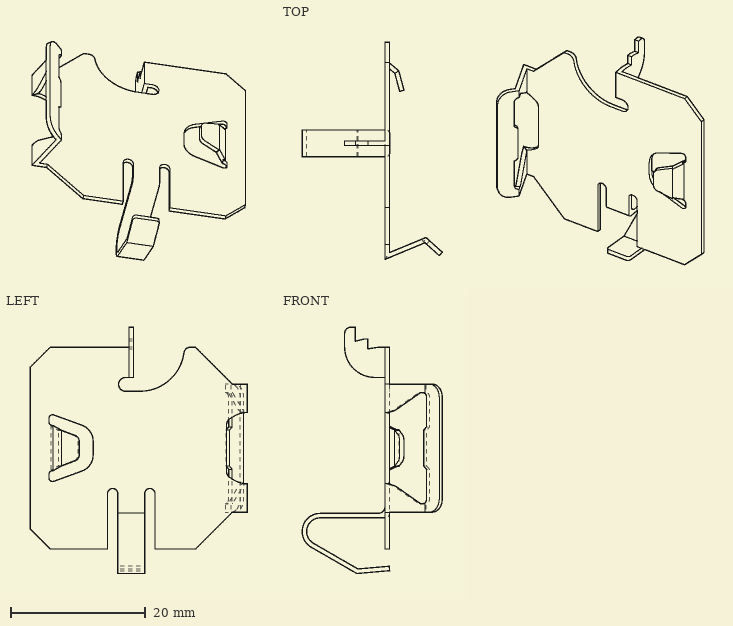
import cadquery as cq
import math

THICKNESS = 0.7
REACH = 73.15

PLATE_HALF_HEIGHT = 15.0
PLATE_BACK_Y = 15.0
CLIP_FOLD_Y = -17.23
BACK_CHAMFER = 3.0
FRONT_CHAMFER = 5.5
CLIP_ROOT_LENGTH = 1.5 * THICKNESS
CLIP_HALF_HEIGHT = PLATE_HALF_HEIGHT - FRONT_CHAMFER

TAB_LENGTH = 6.0
TAB_TOP_Z = 17.95
TAB_BOTTOM_Z = 10.45
TAB_TIP_RADIUS = 1.0
TAB_TOOTH_WALLS = (-2.52, -4.4)
TAB_TOOTH_CRESTS = (-0.88, -3.07)
TAB_CREST_Z = (PLATE_HALF_HEIGHT, 16.2)
TAB_ROOT_Z = (14.75, 15.88)
RELIEF_WIDTH = 2.0
RELIEF_END_Y = 1.85
RELIEF_ARC_Y = -1.3
RELIEF_LIP_RADIUS = 1.0

HOOK_HALF_WIDTH = 2.0
SLOT_WIDTH = 1.5
SLOT_TOP_Z = -6.0
HOOK_TOP_Z = -9.65
HOOK_BEND_RADIUS = 1.0
HOOK_BEND_BACK_RADIUS = 0.7
HOOK_LOOP_X = -9.6
HOOK_LOOP_RADIUS = 2.7
HOOK_RETURN_ANGLE = 30.0
HOOK_BOTTOM_Z = -18.62
HOOK_TIP_ANGLE = 5.0
HOOK_TIP_LENGTH = 4.9
HOOK_TIP_RADIUS = 0.5

OPENING_BACK_Y = 12.18
OPENING_FRONT_Y = 5.67
OPENING_HALF_HEIGHT = 5.15
OPENING_FRONT_RADIUS = 2.5
OPENING_BACK_RADIUS = 0.5
TONGUE_FOLD_Y = 11.6
TONGUE_HALF_HEIGHT = 3.35
TONGUE_TAPER = 20.0
TONGUE_RISE_ANGLE = 50.0
TONGUE_RISE_LENGTH = 1.9
TONGUE_TIP_ANGLE = 15.0
TONGUE_TIP_LENGTH = 2.78
TONGUE_TIP_RADIUS = 1.0

LEG_ANGLE = 22.5
LEG_LENGTH = 6.45
FLANGE_ANGLE = 42.0
FLANGE_LENGTH = 2.85
FLANGE_RADIUS = 2.0
WINDOW_START = -3.07
WINDOW_FLANGE_DEPTH = 0.3
WINDOW_END = LEG_LENGTH + WINDOW_FLANGE_DEPTH
WINDOW_FOLD_HALF_HEIGHT = 5.25
WINDOW_FLARE = 33.0
WINDOW_FLAT = 1.17
WINDOW_START_RADIUS = 1.0
WINDOW_FOLD_RADIUS = 3.65
WINDOW_END_RADIUS = 0.73
LIP_HALF_HEIGHT = 2.67
LIP_LENGTH = 0.6
LIP_FLARE = 0.48


def slope(angle):
    return math.tan(math.radians(angle))


def step(point, angle, length):
    """Point reached from another by a move at an angle from the first axis."""
    a = math.radians(angle)
    return (point[0] + length * math.cos(a), point[1] + length * math.sin(a))


def direction(start, end):
    length = math.dist(start, end)
    return ((end[0] - start[0]) / length, (end[1] - start[1]) / length)


def turn_between(before, after):
    """Signed angle from one unit direction to the next, positive to the left."""
    cross = before[0] * after[1] - before[1] * after[0]
    dot = before[0] * after[0] + before[1] * after[1]
    return math.atan2(cross, dot)


def rounded_outline(plane, corners):
    """Closed outline from (u, v, radius) corners; each corner is rounded by a tangent arc."""
    sketch = cq.Workplane(plane)
    started = False
    for i, (u, v, radius) in enumerate(corners):
        corner = (u, v)
        if radius == 0:
            sketch = sketch.lineTo(*corner) if started else sketch.moveTo(*corner)
        else:
            before = direction(corners[i - 1][:2], corner)
            after = direction(corner, corners[(i + 1) % len(corners)][:2])
            turn = turn_between(before, after)
            tangent = radius * math.tan(abs(turn) / 2)
            sagitta = radius / math.cos(turn / 2) - radius
            inward = direction(before, after)
            first = (u - tangent * before[0], v - tangent * before[1])
            middle = (u + sagitta * inward[0], v + sagitta * inward[1])
            last = (u + tangent * after[0], v + tangent * after[1])
            sketch = sketch.lineTo(*first) if started else sketch.moveTo(*first)
            sketch = sketch.threePointArc(middle, last)
        started = True
    return sketch.close()


def mirrored(half):
    """Corners of an outline symmetric about v = 0, from its upper half."""
    return half + [(u, -v, radius) for u, v, radius in reversed(half)]


def back_points(face):
    """Points one thickness to the left of a bent face line, mitred at the bends."""
    back = []
    for i, point in enumerate(face):
        after = direction(*face[i:i + 2]) if i + 1 < len(face) else direction(*face[i - 1:])
        before = direction(*face[i - 1:i + 1]) if i > 0 else after
        miter = THICKNESS * math.tan(turn_between(before, after) / 2)
        back.append((
            point[0] - THICKNESS * before[1] - miter * before[0],
            point[1] + THICKNESS * before[0] - miter * before[1],
        ))
    return back


def fold(face, blank):
    """Bend a flat blank along a face line in XY; it is laid out from the second point."""
    back = back_points(face)
    sheet = None
    travelled = -math.dist(face[0], face[1])
    for i in range(len(face) - 1):
        start, end = face[i], face[i + 1]
        along = direction(start, end)
        origin = (start[0] - travelled * along[0], start[1] - travelled * along[1], 0)
        plane = cq.Plane(origin=origin, xDir=(*along, 0), normal=(along[1], -along[0], 0))
        stretch = cq.Workplane("XY").polyline([start, end, back[i + 1], back[i]]).close()
        panel = stretch.extrude(REACH, both=True).intersect(blank(plane))
        sheet = panel if sheet is None else sheet.union(panel)
        travelled += math.dist(start, end)
    return sheet


def prism(plane, corners):
    return rounded_outline(plane, corners).extrude(REACH, both=True)


def clip_window(plane):
    """Window that runs from the plate through the clip leg into the flange."""
    flare = slope(WINDOW_FLARE)
    start_height = WINDOW_FOLD_HALF_HEIGHT + (WINDOW_START + WINDOW_FLAT) * flare
    end_height = WINDOW_FOLD_HALF_HEIGHT + (WINDOW_END - WINDOW_FLAT) * flare
    return prism(plane, mirrored([
        (WINDOW_START, start_height, WINDOW_START_RADIUS),
        (-WINDOW_FLAT, WINDOW_FOLD_HALF_HEIGHT, WINDOW_FOLD_RADIUS),
        (WINDOW_FLAT, WINDOW_FOLD_HALF_HEIGHT, WINDOW_FOLD_RADIUS),
        (WINDOW_END, end_height, WINDOW_END_RADIUS),
    ]))


def clip_blank(plane):
    outline = mirrored([
        (-CLIP_ROOT_LENGTH, CLIP_HALF_HEIGHT, 0),
        (LEG_LENGTH + FLANGE_LENGTH, CLIP_HALF_HEIGHT, FLANGE_RADIUS),
    ])
    return prism(plane, outline).cut(clip_window(plane))


def clip():
    fold_point = (0, CLIP_FOLD_Y)
    bend = step(fold_point, LEG_ANGLE, LEG_LENGTH)
    end = step(bend, -FLANGE_ANGLE, FLANGE_LENGTH)
    sheet = fold([(0, 0), fold_point, bend, end], clip_blank)

    along = direction(bend, end)
    normal = (along[1], -along[0], 0)
    origin = (*step(bend, -FLANGE_ANGLE, -LEG_LENGTH), 0)
    flange_plane = cq.Plane(origin=origin, xDir=(*along, 0), normal=normal)
    flange_layer = cq.Workplane(flange_plane).rect(REACH, REACH).extrude(-THICKNESS)
    sheet = sheet.cut(clip_window(flange_plane).intersect(flange_layer))

    lip = rounded_outline(flange_plane, mirrored([
        (WINDOW_END - LIP_LENGTH, LIP_HALF_HEIGHT, 0),
        (WINDOW_END, LIP_HALF_HEIGHT + LIP_FLARE, 0),
        (WINDOW_END + THICKNESS, LIP_HALF_HEIGHT + LIP_FLARE, 0),
    ])).extrude(-THICKNESS)
    return sheet.union(lip)


def tongue_blank(plane):
    length = TONGUE_RISE_LENGTH + TONGUE_TIP_LENGTH
    taper = slope(TONGUE_TAPER)
    return prism(plane, mirrored([
        (-THICKNESS, TONGUE_HALF_HEIGHT, 0),
        (0, TONGUE_HALF_HEIGHT, 0),
        (length, TONGUE_HALF_HEIGHT - length * taper, TONGUE_TIP_RADIUS),
    ]))


def tongue():
    fold_point = (0, TONGUE_FOLD_Y)
    bend = step(fold_point, TONGUE_RISE_ANGLE - 90, TONGUE_RISE_LENGTH)
    end = step(bend, TONGUE_TIP_ANGLE - 90, TONGUE_TIP_LENGTH)
    return fold([(0, PLATE_BACK_Y), fold_point, bend, end], tongue_blank)


def tongue_opening():
    front_height = OPENING_HALF_HEIGHT - (OPENING_BACK_Y - OPENING_FRONT_Y) * slope(TONGUE_TAPER)
    return prism("YZ", mirrored([
        (TONGUE_FOLD_Y, TONGUE_HALF_HEIGHT, 0),
        (OPENING_BACK_Y, TONGUE_HALF_HEIGHT, OPENING_BACK_RADIUS),
        (OPENING_BACK_Y, OPENING_HALF_HEIGHT, OPENING_BACK_RADIUS),
        (OPENING_FRONT_Y, front_height, OPENING_FRONT_RADIUS),
    ]))


def plate():
    relief_bottom = TAB_BOTTOM_Z - RELIEF_WIDTH
    relief_radius = PLATE_HALF_HEIGHT - relief_bottom
    end_radius = RELIEF_WIDTH / 2
    relief_end = (RELIEF_END_Y, TAB_BOTTOM_Z - end_radius)
    lip_z = PLATE_HALF_HEIGHT - RELIEF_LIP_RADIUS
    lip_run = math.sqrt((relief_radius + RELIEF_LIP_RADIUS) ** 2 - RELIEF_LIP_RADIUS ** 2)
    lip_y = RELIEF_ARC_Y - lip_run
    relief_center = (RELIEF_ARC_Y, PLATE_HALF_HEIGHT)
    lip_center = (lip_y, lip_z)
    lip_angle = math.degrees(math.atan2(RELIEF_LIP_RADIUS, lip_run))
    relief_mid = step(relief_center, (270 + 180 + lip_angle) / 2, relief_radius)
    touch = step(relief_center, 180 + lip_angle, relief_radius)
    lip_mid = step(lip_center, (90 + lip_angle) / 2, RELIEF_LIP_RADIUS)
    clip_root_y = CLIP_FOLD_Y + CLIP_ROOT_LENGTH
    front_top_y = -CLIP_HALF_HEIGHT
    front_clip_y = front_top_y - FRONT_CHAMFER

    return (
        cq.Workplane("YZ")
        .moveTo(-THICKNESS / 2, PLATE_HALF_HEIGHT)
        .lineTo(-THICKNESS / 2, TAB_BOTTOM_Z)
        .lineTo(RELIEF_END_Y - end_radius, TAB_BOTTOM_Z)
        .threePointArc(relief_end, (RELIEF_END_Y - end_radius, relief_bottom))
        .lineTo(RELIEF_ARC_Y, relief_bottom)
        .threePointArc(relief_mid, touch)
        .threePointArc(lip_mid, (lip_y, PLATE_HALF_HEIGHT))
        .lineTo(front_top_y, PLATE_HALF_HEIGHT)
        .lineTo(front_clip_y, CLIP_HALF_HEIGHT)
        .lineTo(clip_root_y, CLIP_HALF_HEIGHT)
        .lineTo(clip_root_y, -CLIP_HALF_HEIGHT)
        .lineTo(front_clip_y, -CLIP_HALF_HEIGHT)
        .lineTo(front_top_y, -PLATE_HALF_HEIGHT)
        .lineTo(PLATE_BACK_Y - BACK_CHAMFER, -PLATE_HALF_HEIGHT)
        .lineTo(PLATE_BACK_Y, BACK_CHAMFER - PLATE_HALF_HEIGHT)
        .lineTo(PLATE_BACK_Y, PLATE_HALF_HEIGHT - BACK_CHAMFER)
        .lineTo(PLATE_BACK_Y - BACK_CHAMFER, PLATE_HALF_HEIGHT)
        .close()
        .extrude(THICKNESS)
    )


def hook_gap():
    """Two round-ended slots beside the hook and the space below its bend."""
    slot_center = HOOK_HALF_WIDTH + SLOT_WIDTH / 2
    radius = SLOT_WIDTH / 2
    outer_edge = HOOK_HALF_WIDTH + SLOT_WIDTH
    bend_top = HOOK_TOP_Z + HOOK_BEND_RADIUS
    gap = cq.Workplane("YZ").moveTo(0, bend_top - REACH / 2).rect(2 * outer_edge, REACH)
    gap = gap.extrude(REACH, both=True)
    for y in (-slot_center, slot_center):
        slot = (
            cq.Workplane("YZ")
            .moveTo(y - radius, -PLATE_HALF_HEIGHT)
            .lineTo(y - radius, SLOT_TOP_Z - radius)
            .threePointArc((y, SLOT_TOP_Z), (y + radius, SLOT_TOP_Z - radius))
            .lineTo(y + radius, -PLATE_HALF_HEIGHT)
            .close()
            .extrude(REACH, both=True)
        )
        gap = gap.union(slot)
    return gap


def hook():
    loop_x = HOOK_LOOP_X - HOOK_LOOP_RADIUS * slope(90 - HOOK_RETURN_ANGLE / 2)
    elbow_x = loop_x + (HOOK_TOP_Z - HOOK_BOTTOM_Z) / slope(HOOK_RETURN_ANGLE)
    elbow = (elbow_x, HOOK_BOTTOM_Z)
    tip = step(elbow, HOOK_TIP_ANGLE, HOOK_TIP_LENGTH)
    face = [(0, SLOT_TOP_Z), (0, HOOK_TOP_Z), (loop_x, HOOK_TOP_Z), elbow, tip]
    face_radii = [0, HOOK_BEND_RADIUS, HOOK_LOOP_RADIUS, 0, 0]
    back_radii = [0, HOOK_BEND_BACK_RADIUS, HOOK_LOOP_RADIUS - THICKNESS, 0, 0]
    back = back_points(face)
    tip_back = back[-1]
    front_side = [(*point, radius) for point, radius in zip(face, face_radii)]
    back_side = [(*point, radius) for point, radius in zip(back, back_radii)]
    strip = rounded_outline("XZ", front_side + back_side[::-1]).extrude(HOOK_HALF_WIDTH, both=True)
    for y in (-HOOK_HALF_WIDTH, HOOK_HALF_WIDTH):
        middle = cq.Vector((tip[0] + tip_back[0]) / 2, y, (tip[1] + tip_back[1]) / 2)
        strip = strip.edges(cq.selectors.NearestToPointSelector(middle)).fillet(HOOK_TIP_RADIUS)
    return strip


def tab():
    bottom_radius = PLATE_HALF_HEIGHT - TAB_BOTTOM_Z
    corners = [(THICKNESS, TAB_BOTTOM_Z, 0)]
    wall = THICKNESS
    for next_wall, crest, root_z, crest_z in zip(TAB_TOOTH_WALLS, TAB_TOOTH_CRESTS, TAB_ROOT_Z, TAB_CREST_Z):
        corners += [(wall, crest_z, 0), (crest, crest_z, 0), (next_wall, root_z, 0)]
        wall = next_wall
    corners += [
        (wall, TAB_TOP_Z, 0),
        (-TAB_LENGTH, TAB_TOP_Z, TAB_TIP_RADIUS),
        (-TAB_LENGTH, TAB_BOTTOM_Z, bottom_radius),
    ]
    return rounded_outline("XZ", corners).extrude(THICKNESS / 2, both=True)


plate_window_plane = cq.Plane(origin=(0, CLIP_FOLD_Y, 0), xDir=(0, -1, 0), normal=(-1, 0, 0))

result = plate().cut(hook_gap()).cut(tongue_opening()).cut(clip_window(plate_window_plane))
for feature in (hook(), tab(), tongue(), clip()):
    result = result.union(feature)